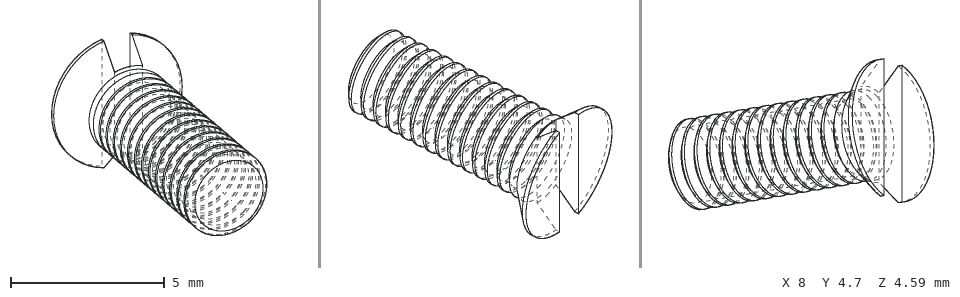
import cadquery as cq

length = 8.0

head_radius = 2.35
rim_thickness = 0.15
head_length = 1.0
slot_width = 1.02
slot_depth = 0.91

thread_radius = 1.5
thread_depth = 0.25
pitch = length / 16
crest_width = pitch / 5
ring_count = 13

flank_length = (pitch - crest_width) / 2
root_radius = thread_radius - thread_depth
thread_start = length - ring_count * pitch


def ring_points(ring_start):
    """Crest and end root of one ring, as (x, radius) points."""
    crest_start = ring_start + flank_length
    return [
        (crest_start, thread_radius),
        (crest_start + crest_width, thread_radius),
        (ring_start + pitch, root_radius),
    ]


def make_body():
    """Revolve the half profile of head, collar and thread about X."""
    profile = [
        (0, 0),
        (0, head_radius),
        (rim_thickness, head_radius),
        (head_length, thread_radius),
        (thread_start - flank_length, thread_radius),
        (thread_start, root_radius),
    ]
    for ring in range(ring_count):
        profile += ring_points(thread_start + ring * pitch)
    profile.append((length, 0))
    return cq.Workplane("XY").polyline(profile).close().revolve(360, (0, 0, 0), (1, 0, 0))


def make_slot():
    """Driver slot running across the whole head along Z."""
    return cq.Workplane("XY").box(
        slot_depth, slot_width, 2 * head_radius, centered=(False, True, True)
    )


result = make_body().cut(make_slot())